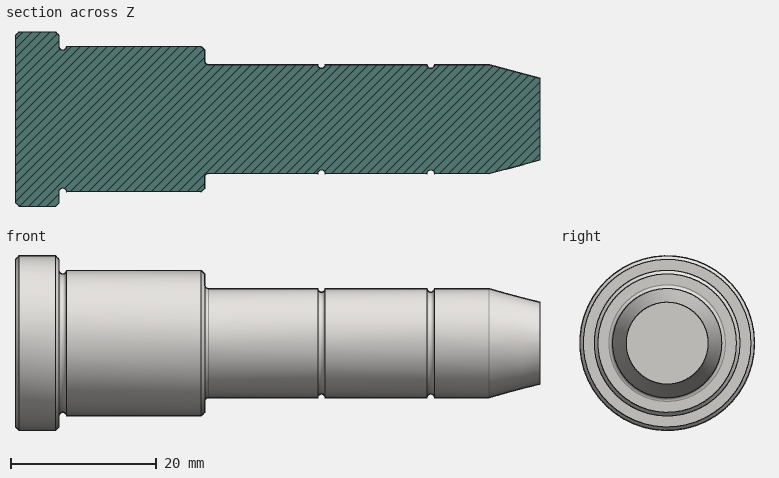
import cadquery as cq
import math

LENGTH = 72.0

HEAD_RADIUS = 24.0 / 2
HEAD_LENGTH = 6.0
SHOULDER_RADIUS = 20.0 / 2
SHOULDER_END = 26.0
PIN_RADIUS = 15.0 / 2

EDGE_CHAMFER = 0.5
ROOT_FILLET = 0.5

GROOVE_RADIUS = 0.5
UNDERCUT_CENTRE = HEAD_LENGTH + GROOVE_RADIUS
PIN_GROOVE_CENTRES = (42.0, 57.0)

LEAD_IN_LENGTH = 7.0
LEAD_IN_ANGLE = 15.0
TIP_RADIUS = PIN_RADIUS - LEAD_IN_LENGTH * math.tan(math.radians(LEAD_IN_ANGLE))


def make_body():
    """Revolve the stepped half profile, including its chamfers, fillet and lead-in taper."""
    fillet_mid_offset = ROOT_FILLET * (1 - math.sqrt(0.5))
    profile = (
        cq.Workplane("XY")
        .lineTo(0, HEAD_RADIUS - EDGE_CHAMFER)
        .lineTo(EDGE_CHAMFER, HEAD_RADIUS)
        .lineTo(HEAD_LENGTH - EDGE_CHAMFER, HEAD_RADIUS)
        .lineTo(HEAD_LENGTH, HEAD_RADIUS - EDGE_CHAMFER)
        .lineTo(HEAD_LENGTH, SHOULDER_RADIUS)
        .lineTo(SHOULDER_END - EDGE_CHAMFER, SHOULDER_RADIUS)
        .lineTo(SHOULDER_END, SHOULDER_RADIUS - EDGE_CHAMFER)
        .lineTo(SHOULDER_END, PIN_RADIUS + ROOT_FILLET)
        .threePointArc(
            (SHOULDER_END + fillet_mid_offset, PIN_RADIUS + fillet_mid_offset),
            (SHOULDER_END + ROOT_FILLET, PIN_RADIUS),
        )
        .lineTo(LENGTH - LEAD_IN_LENGTH, PIN_RADIUS)
        .lineTo(LENGTH, TIP_RADIUS)
        .lineTo(LENGTH, 0)
        .close()
    )
    return profile.revolve(360, (0, 0, 0), (1, 0, 0))


def make_groove_cutter(centre_x, surface_radius):
    """Ring of circular section, centred on the surface it grooves."""
    return (
        cq.Workplane("XY")
        .center(centre_x, surface_radius)
        .circle(GROOVE_RADIUS)
        .revolve(360, (0, -surface_radius, 0), (1, -surface_radius, 0))
    )


result = make_body()
result = result.cut(make_groove_cutter(UNDERCUT_CENTRE, SHOULDER_RADIUS))
for groove_centre in PIN_GROOVE_CENTRES:
    result = result.cut(make_groove_cutter(groove_centre, PIN_RADIUS))